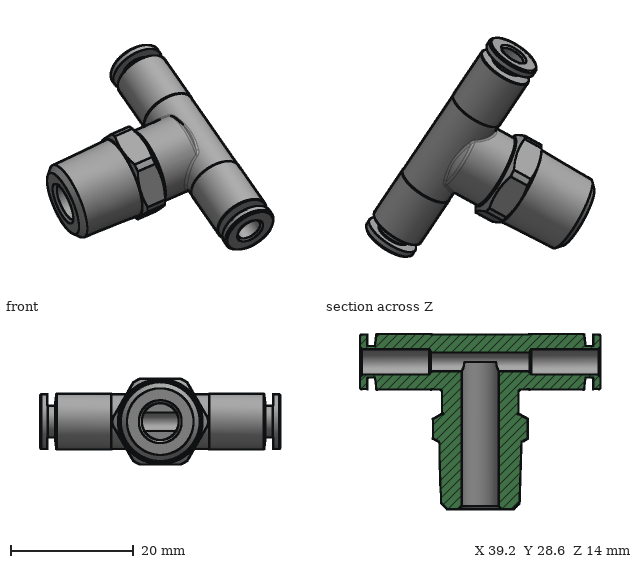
import cadquery as cq
import math


RUN_HALF_LENGTH = 19.6
MIDDLE_RADIUS = 4.5
MIDDLE_HALF_LENGTH = 8.0
SHELL_RADIUS = 4.55
SHELL_STEP_LENGTH = 0.1
SHELL_RIM_X = 16.95
SHELL_RIM_CHAMFER = 0.1
SHELL_FACE_RISE = 0.23
NECK_RADIUS = 2.6
NECK_ROOT_CHAMFER = 0.1
COLLAR_RADIUS = 4.5
COLLAR_LENGTH = 1.2
COLLAR_CHAMFER = 0.25

PASSAGE_RADIUS = 1.5
SOCKET_RADIUS = 2.05
SOCKET_CHAMFER = 0.35
SOCKET_TIP_ANGLE = 118.0

BARREL_RADIUS = 6.25
BARREL_FOOT_CHAMFER = 0.2
BARREL_START_Y = -1.5
BARREL_CONE_ANGLE = 60.0
BARREL_CONE_DEPTH = 3.0
BARREL_EDGE_FILLET = 0.5
JUNCTION_FILLET = 0.4

HEX_ACROSS_FLATS = 14.0
HEX_CORNER_RADIUS = 7.75
HEX_INNER_Y = -8.5
HEX_LENGTH = 4.5
HEX_INNER_FACE_RADIUS = 6.4
HEX_OUTER_FACE_RADIUS = 6.9
HEX_BEVEL_ANGLE = 30.0

THREAD_LENGTH = 11.0
THREAD_BASE_RADIUS = 6.735
THREAD_CHAMFER = 1.0
THREAD_TAPER = 1 / 16

BORE_RADIUS = 3.0
BORE_CHAMFER = 0.5

SELECT_MARGIN = 0.1

HEX_OUTER_Y = HEX_INNER_Y - HEX_LENGTH
THREAD_END_Y = HEX_OUTER_Y - THREAD_LENGTH


def turned_on_x(outline):
    """Revolve (x, radius) points about the run axis."""
    return cq.Workplane("XY").polyline(outline).close().revolve(360, (0, 0, 0), (1, 0, 0))


def turned_on_y(outline):
    """Revolve (radius, y) points about the branch axis."""
    return cq.Workplane("XY").polyline(outline).close().revolve(360, (0, 0, 0), (0, 1, 0))


def make_run_middle():
    return turned_on_x([
        (-MIDDLE_HALF_LENGTH, 0),
        (-MIDDLE_HALF_LENGTH, MIDDLE_RADIUS),
        (MIDDLE_HALF_LENGTH, MIDDLE_RADIUS),
        (MIDDLE_HALF_LENGTH, 0),
    ])


def make_run_end():
    """Shell, neck and collar of the +X end."""
    collar_inner_x = RUN_HALF_LENGTH - COLLAR_LENGTH
    return turned_on_x([
        (MIDDLE_HALF_LENGTH - SHELL_STEP_LENGTH, 0),
        (MIDDLE_HALF_LENGTH - SHELL_STEP_LENGTH, MIDDLE_RADIUS),
        (MIDDLE_HALF_LENGTH, SHELL_RADIUS),
        (SHELL_RIM_X - SHELL_RIM_CHAMFER, SHELL_RADIUS),
        (SHELL_RIM_X, SHELL_RADIUS - SHELL_RIM_CHAMFER),
        (SHELL_RIM_X + SHELL_FACE_RISE, NECK_RADIUS),
        (collar_inner_x - NECK_ROOT_CHAMFER, NECK_RADIUS),
        (collar_inner_x, NECK_RADIUS + NECK_ROOT_CHAMFER),
        (collar_inner_x, COLLAR_RADIUS),
        (RUN_HALF_LENGTH - COLLAR_CHAMFER, COLLAR_RADIUS),
        (RUN_HALF_LENGTH, COLLAR_RADIUS - COLLAR_CHAMFER),
        (RUN_HALF_LENGTH, 0),
    ])


def make_barrel():
    """Branch barrel whose inner end narrows in a cone with a rounded rim and whose foot is chamfered."""
    cone_rise = BARREL_CONE_DEPTH / math.tan(math.radians(BARREL_CONE_ANGLE))
    barrel = turned_on_y([
        (0, HEX_INNER_Y),
        (BARREL_RADIUS - BARREL_FOOT_CHAMFER, HEX_INNER_Y),
        (BARREL_RADIUS, HEX_INNER_Y + BARREL_FOOT_CHAMFER),
        (BARREL_RADIUS, BARREL_START_Y),
        (BARREL_RADIUS - BARREL_CONE_DEPTH, BARREL_START_Y + cone_rise),
        (0, BARREL_START_Y + cone_rise),
    ])
    rim = cq.selectors.BoxSelector(
        (-BARREL_RADIUS - SELECT_MARGIN, BARREL_START_Y - SELECT_MARGIN, -BARREL_RADIUS - SELECT_MARGIN),
        (BARREL_RADIUS + SELECT_MARGIN, BARREL_START_Y + SELECT_MARGIN, BARREL_RADIUS + SELECT_MARGIN),
        boundingbox=True,
    )
    return barrel.edges(rim).fillet(BARREL_EDGE_FILLET)


def make_junction():
    """Run middle and barrel joined, with a fillet along the seam."""
    joined = make_run_middle().union(make_barrel())
    seam = cq.selectors.BoxSelector(
        (-BARREL_RADIUS - SELECT_MARGIN, -MIDDLE_RADIUS - SELECT_MARGIN, -MIDDLE_RADIUS - SELECT_MARGIN),
        (BARREL_RADIUS + SELECT_MARGIN, 0, MIDDLE_RADIUS + SELECT_MARGIN),
        boundingbox=True,
    )
    return joined.edges(seam).fillet(JUNCTION_FILLET)


def make_hexagon():
    """Hexagon with flats on +Z and -Z, its corners turned down and bevelled."""
    bevel_slope = math.tan(math.radians(HEX_BEVEL_ANGLE))
    inner_bevel = (HEX_CORNER_RADIUS - HEX_INNER_FACE_RADIUS) * bevel_slope
    outer_bevel = (HEX_CORNER_RADIUS - HEX_OUTER_FACE_RADIUS) * bevel_slope
    across_corners = HEX_ACROSS_FLATS / math.cos(math.pi / 6)
    prism = (
        cq.Workplane("XZ", origin=(0, HEX_INNER_Y, 0))
        .polygon(6, across_corners)
        .extrude(HEX_LENGTH)
    )
    envelope = turned_on_y([
        (0, HEX_INNER_Y),
        (HEX_INNER_FACE_RADIUS, HEX_INNER_Y),
        (HEX_CORNER_RADIUS, HEX_INNER_Y - inner_bevel),
        (HEX_CORNER_RADIUS, HEX_OUTER_Y + outer_bevel),
        (HEX_OUTER_FACE_RADIUS, HEX_OUTER_Y),
        (0, HEX_OUTER_Y),
    ])
    return prism.intersect(envelope)


def make_thread():
    chamfer_y = THREAD_END_Y + THREAD_CHAMFER
    tip_radius = THREAD_BASE_RADIUS - (HEX_OUTER_Y - chamfer_y) * THREAD_TAPER / 2
    return turned_on_y([
        (0, HEX_OUTER_Y),
        (THREAD_BASE_RADIUS, HEX_OUTER_Y),
        (tip_radius, chamfer_y),
        (tip_radius - THREAD_CHAMFER, THREAD_END_Y),
        (0, THREAD_END_Y),
    ])


def make_run_passage():
    """Through passage, widened into a tube socket with a conical floor at each end."""
    floor_cone_length = (SOCKET_RADIUS - PASSAGE_RADIUS) / math.tan(math.radians(SOCKET_TIP_ANGLE / 2))
    socket_floor_x = MIDDLE_HALF_LENGTH + floor_cone_length
    return turned_on_x([
        (-RUN_HALF_LENGTH, 0),
        (-RUN_HALF_LENGTH, SOCKET_RADIUS + SOCKET_CHAMFER),
        (-RUN_HALF_LENGTH + SOCKET_CHAMFER, SOCKET_RADIUS),
        (-socket_floor_x, SOCKET_RADIUS),
        (-MIDDLE_HALF_LENGTH, PASSAGE_RADIUS),
        (MIDDLE_HALF_LENGTH, PASSAGE_RADIUS),
        (socket_floor_x, SOCKET_RADIUS),
        (RUN_HALF_LENGTH - SOCKET_CHAMFER, SOCKET_RADIUS),
        (RUN_HALF_LENGTH, SOCKET_RADIUS + SOCKET_CHAMFER),
        (RUN_HALF_LENGTH, 0),
    ])


def make_branch_bore():
    """Blind bore that ends flat on the run axis."""
    return turned_on_y([
        (0, 0),
        (BORE_RADIUS, 0),
        (BORE_RADIUS, THREAD_END_Y + BORE_CHAMFER),
        (BORE_RADIUS + BORE_CHAMFER, THREAD_END_Y),
        (0, THREAD_END_Y),
    ])


run_end = make_run_end()
body = make_junction()
body = body.union(run_end).union(run_end.mirror("YZ"))
body = body.union(make_hexagon()).union(make_thread())
result = body.cut(make_run_passage()).cut(make_branch_bore())